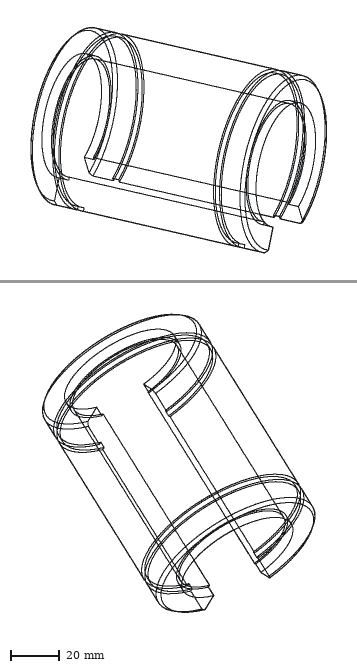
import cadquery as cq

LENGTH = 100.0
OUTER_DIAMETER = 75.0
BORE_DIAMETER = 50.0
END_CHAMFER = 1.5

GROOVE_DIAMETER = 72.0
GROOVE_WIDTH = 2.8
GROOVE_SPAN = 77.9

RECESS_DIAMETER = 52.5
RECESS_DEPTH = 4.5

OPENING_ANGLE = 50.0


def make_ring(inner_diameter, outer_diameter, start, length):
    """Open ring around the X axis, running in +X from start, with the gap at the bottom."""
    return (
        cq.Workplane("XZ")
        .moveTo(start, -outer_diameter / 2)
        .lineTo(start + length, -outer_diameter / 2)
        .lineTo(start + length, -inner_diameter / 2)
        .lineTo(start, -inner_diameter / 2)
        .close()
        .revolve(360 - OPENING_ANGLE, (0, 0), (1, 0))
        .rotate((0, 0, 0), (1, 0, 0), OPENING_ANGLE / 2)
    )


def make_sleeve():
    """Open sleeve with chamfered outer rims."""
    sleeve = make_ring(BORE_DIAMETER, OUTER_DIAMETER, -LENGTH / 2, LENGTH)
    outer_rims = sleeve.faces("<X or >X").edges("%CIRCLE").edges(
        cq.selectors.RadiusNthSelector(-1)
    )
    return outer_rims.chamfer(END_CHAMFER)


def cut_grooves(body):
    """Cut the two retaining ring grooves, one near each end."""
    for start in (-GROOVE_SPAN / 2, GROOVE_SPAN / 2 - GROOVE_WIDTH):
        body = body.cut(make_ring(GROOVE_DIAMETER, OUTER_DIAMETER, start, GROOVE_WIDTH))
    return body


def cut_recesses(body):
    """Widen the bore at both ends."""
    for start in (-LENGTH / 2, LENGTH / 2 - RECESS_DEPTH):
        body = body.cut(make_ring(BORE_DIAMETER, RECESS_DIAMETER, start, RECESS_DEPTH))
    return body


result = cut_recesses(cut_grooves(make_sleeve()))